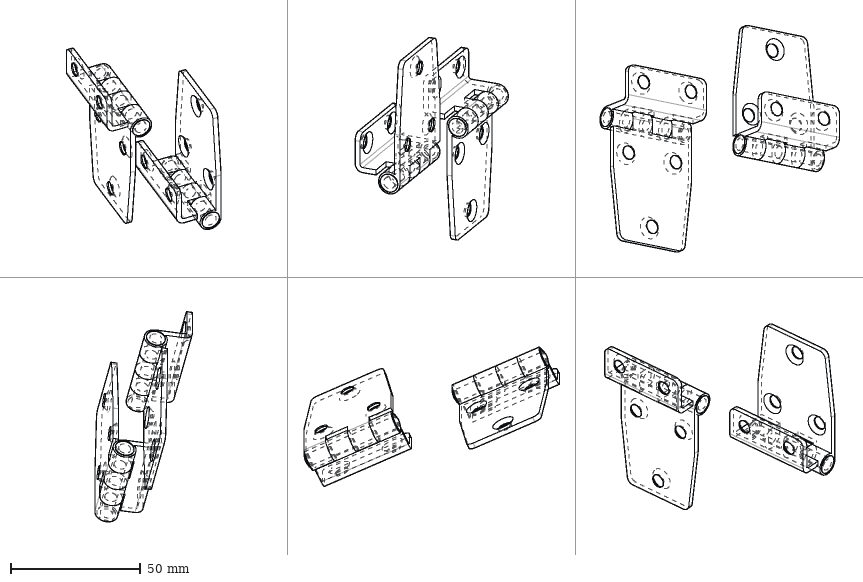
import cadquery as cq


overall_length = 102.9
width = 37.2
head_height = 1.29
hinge_length = width + 2 * head_height
hinge_pitch = overall_length - hinge_length

thickness = 2.2
barrel_radius = 4.5
bore_radius = barrel_radius - thickness
knuckle_count = 4
knuckle_width = width / knuckle_count
bracket_knuckles = (0, 2)
leaf_knuckles = (1, 3)

hole_diameter = 5.4
hole_spacing = 22.4
countersink_diameter = 8.6

leaf_length = 49.5
leaf_taper_start = 20.7
leaf_end_width = 30.5
leaf_corner_radius = 2.9
leaf_pair_drop = 14.0
leaf_single_drop = 42.0

overall_depth = 19.0
bracket_reach = overall_depth - barrel_radius
bracket_height = 18.1
bracket_corner_radius = 2.9
bracket_bend_radius = 1.1
bracket_hole_height = 12.0
bracket_clearance = 1.0

head_radius = 3.7
head_rim = 0.3


def box_between(x_range, y_range, z_range):
    """Box given by its lower and upper limits along each axis."""
    size = [upper - lower for lower, upper in (x_range, y_range, z_range)]
    corner = (x_range[0], y_range[0], z_range[0])
    return cq.Workplane("XY").box(*size, centered=False).translate(corner)


def knuckle_limits(index):
    """Start and end along X of one knuckle position."""
    start = -width / 2 + index * knuckle_width
    return start, start + knuckle_width


def x_cylinder(x_range, radius):
    """Cylinder on the pin axis."""
    start, end = x_range
    return cq.Workplane("YZ").workplane(offset=start).circle(radius).extrude(end - start)


def add_barrel(plate, positions):
    """Roll knuckles onto a plate at the given positions and bore them for the pin."""
    for index in positions:
        plate = plate.union(x_cylinder(knuckle_limits(index), barrel_radius))
    return plate.cut(x_cylinder((-width / 2, width / 2), bore_radius))


def cut_countersunk_holes(body, places, face_y):
    """Cut screw holes through a plate at (x, z) places, countersunk from its face at face_y."""
    sink_depth = (countersink_diameter - hole_diameter) / 2
    for x, z in places:
        face = cq.Workplane("XZ", origin=(x, face_y, z))
        hole = face.circle(hole_diameter / 2).extrude(thickness)
        cone = (
            face.circle(countersink_diameter / 2)
            .workplane(offset=sink_depth)
            .circle(hole_diameter / 2)
            .loft()
        )
        body = body.cut(hole).cut(cone)
    return body


def make_leaf():
    """Tapered leaf hanging down, with its screw heads countersunk on the +Y face."""
    front_y = -barrel_radius
    back_y = front_y + thickness
    plate = (
        cq.Workplane("XZ", origin=(0, back_y, 0))
        .moveTo(-width / 2, 0)
        .lineTo(width / 2, 0)
        .lineTo(width / 2, -leaf_taper_start)
        .lineTo(leaf_end_width / 2, -leaf_length)
        .lineTo(-leaf_end_width / 2, -leaf_length)
        .lineTo(-width / 2, -leaf_taper_start)
        .close()
        .extrude(thickness)
    )
    plate = plate.faces("<Z").edges("|Y").fillet(leaf_corner_radius)

    for index in bracket_knuckles:
        plate = plate.cut(box_between(knuckle_limits(index), (front_y, back_y), (-barrel_radius, 0)))
    leaf = add_barrel(plate, leaf_knuckles)

    hole_places = [
        (-hole_spacing / 2, -leaf_pair_drop),
        (hole_spacing / 2, -leaf_pair_drop),
        (0, -leaf_single_drop),
    ]
    return cut_countersunk_holes(leaf, hole_places, back_y)


def make_bracket():
    """L-shaped bracket: a flange going forward off the top of the barrel, then bent upright."""
    flange_top = barrel_radius
    flange_bottom = barrel_radius - thickness
    inner_y = -bracket_reach + thickness
    outer_bend_radius = bracket_bend_radius + thickness
    angle = (
        cq.Workplane("YZ", origin=(-width / 2, 0, 0))
        .moveTo(0, flange_bottom)
        .lineTo(-bracket_reach + outer_bend_radius, flange_bottom)
        .radiusArc((-bracket_reach, flange_bottom + outer_bend_radius), outer_bend_radius)
        .lineTo(-bracket_reach, bracket_height)
        .lineTo(inner_y, bracket_height)
        .lineTo(inner_y, flange_top + bracket_bend_radius)
        .radiusArc((inner_y + bracket_bend_radius, flange_top), -bracket_bend_radius)
        .lineTo(0, flange_top)
        .close()
        .extrude(width)
    )
    angle = angle.faces(">Z").edges("|Y").fillet(bracket_corner_radius)

    notch_y = -barrel_radius - bracket_clearance
    for index in leaf_knuckles:
        angle = angle.cut(box_between(knuckle_limits(index), (notch_y, 0), (flange_bottom, flange_top)))
    bracket = add_barrel(angle, bracket_knuckles)

    hole_places = [(-hole_spacing / 2, bracket_hole_height), (hole_spacing / 2, bracket_hole_height)]
    return cut_countersunk_holes(bracket, hole_places, inner_y)


def make_pin():
    """Pin with a domed head against each end of the barrel, turned about the X axis."""
    head_base = width / 2
    rim_end = head_base + head_rim
    dome_height = head_height - head_rim
    dome_radius = (head_radius**2 + dome_height**2) / (2 * dome_height)
    tip = hinge_length / 2
    return (
        cq.Workplane("XY")
        .moveTo(-tip, 0)
        .radiusArc((-rim_end, head_radius), dome_radius)
        .lineTo(-head_base, head_radius)
        .lineTo(-head_base, bore_radius)
        .lineTo(head_base, bore_radius)
        .lineTo(head_base, head_radius)
        .lineTo(rim_end, head_radius)
        .radiusArc((tip, 0), dome_radius)
        .close()
        .revolve(360, (0, 0, 0), (1, 0, 0))
    )


hinges = [(-hinge_pitch / 2, 0), (hinge_pitch / 2, 180)]
bodies = []
for hinge_x, leaf_swing in hinges:
    bracket = make_bracket()
    leaf = make_leaf().rotate((0, 0, 0), (1, 0, 0), leaf_swing)
    pin = make_pin()
    for body in (bracket, leaf, pin):
        bodies.append(body.translate((hinge_x, 0, 0)).solids().val())

result = cq.Compound.makeCompound(bodies)